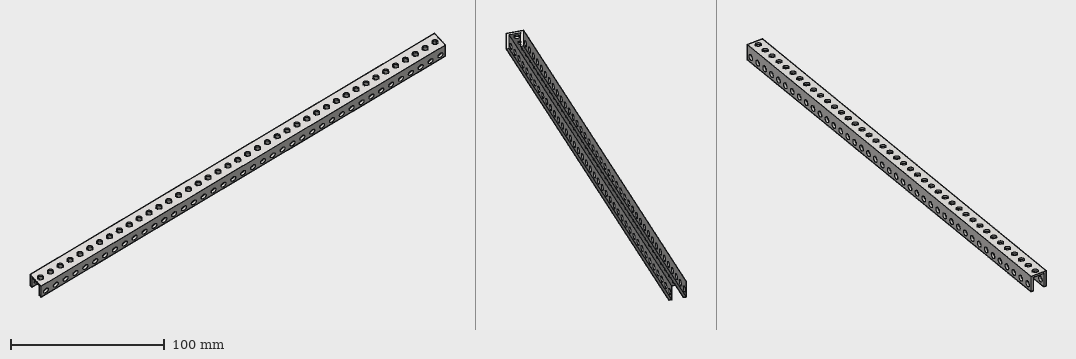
import cadquery as cq

width = 12.0
height = 12.0
length = 328.0
web_thickness = 1.5
flange_thickness = 2.0

hole_pitch = 8.0
hole_diameter = 4.0
hole_count = round(length / hole_pitch)
flange_hole_height = 4.0


def make_channel():
    """U-shaped bar centred on X and Y, with the open side down at Z = 0."""
    body = cq.Workplane("XY").box(width, length, height, centered=(True, True, False))
    cavity_width = width - 2 * flange_thickness
    cavity_height = height - web_thickness
    cavity = cq.Workplane("XY").box(
        cavity_width, length, cavity_height, centered=(True, True, False)
    )
    return body.cut(cavity)


def web_holes():
    """Vertical cylinders through the web, along its centre line."""
    return (
        cq.Workplane("XY")
        .rarray(hole_pitch, hole_pitch, 1, hole_count)
        .circle(hole_diameter / 2)
        .extrude(height)
    )


def flange_holes():
    """Cylinders along X that pass through both flanges."""
    return (
        cq.Workplane("YZ", origin=(0, 0, flange_hole_height))
        .rarray(hole_pitch, hole_pitch, hole_count, 1)
        .circle(hole_diameter / 2)
        .extrude(width / 2, both=True)
    )


result = make_channel().cut(web_holes()).cut(flange_holes())